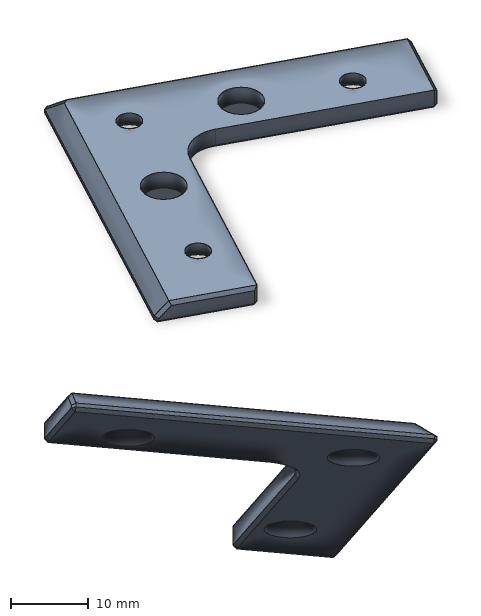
import cadquery as cq

side_length = 48.7
thickness = 3.0
hole_to_inner_side = 5.0
inner_corner_radius = 5.0

bevel = 2.0
edge_chamfer = 0.5

hole_diameter = 3.4
countersink_diameter = 6.7
hole_inset = 8.8
hole_spacing = 30.0
pocket_diameter = 6.0
pocket_depth = 2.5

leg_width = hole_inset + hole_to_inner_side
hole_far = hole_inset + hole_spacing
pocket_place = hole_inset + hole_spacing / 2


def make_plate():
    """L-shaped plate with a rounded inner corner."""
    outline = [
        (0, 0),
        (side_length, 0),
        (side_length, leg_width),
        (leg_width, leg_width),
        (leg_width, side_length),
        (0, side_length),
    ]
    plate = cq.Workplane("XY").polyline(outline).close().extrude(thickness)
    inner_corner = cq.selectors.NearestToPointSelector((leg_width, leg_width, thickness / 2))
    return plate.edges("|Z").edges(inner_corner).fillet(inner_corner_radius)


def bevel_outer_edges(plate):
    """Bevel the two long outer top edges, meeting in a mitre."""
    return plate.faces("<X or <Y").edges(">Z").chamfer(bevel)


def break_edges(plate):
    """Chamfer both leg ends, the bottom rim and the outer corner with its mitre."""
    end_edges = plate.faces(">X or >Y").edges()
    bottom_rim = plate.faces("<Z").edges()
    corner_edge = plate.edges("|Z").edges("<X and <Y")
    mitre = plate.edges(cq.selectors.NearestToPointSelector((bevel / 2, bevel / 2, thickness - bevel / 2)))
    edges = end_edges.add(bottom_rim).add(corner_edge).add(mitre)
    return edges.chamfer(edge_chamfer)


def cut_from_top(plate, centres, diameter, depth):
    """Cut round holes of the given depth down from the top face."""
    holes = cq.Workplane("XY", origin=(0, 0, thickness)).pushPoints(centres)
    return plate.cut(holes.circle(diameter / 2).extrude(-depth))


def countersink_underside(plate, centres):
    """Cut a 90 degree cone into the underside around each screw hole."""
    mouth_radius = countersink_diameter / 2
    cone_depth = mouth_radius - hole_diameter / 2
    for x, y in centres:
        cone = cq.Solid.makeCone(mouth_radius, hole_diameter / 2, cone_depth, pnt=cq.Vector(x, y, 0))
        plate = plate.cut(cq.Workplane(cone))
    return plate


hole_centres = [(hole_inset, hole_inset), (hole_far, hole_inset), (hole_inset, hole_far)]
pocket_centres = [(pocket_place, hole_inset), (hole_inset, pocket_place)]

plate = break_edges(bevel_outer_edges(make_plate()))
plate = cut_from_top(plate, hole_centres, hole_diameter, thickness)
plate = countersink_underside(plate, hole_centres)
result = cut_from_top(plate, pocket_centres, pocket_diameter, pocket_depth)